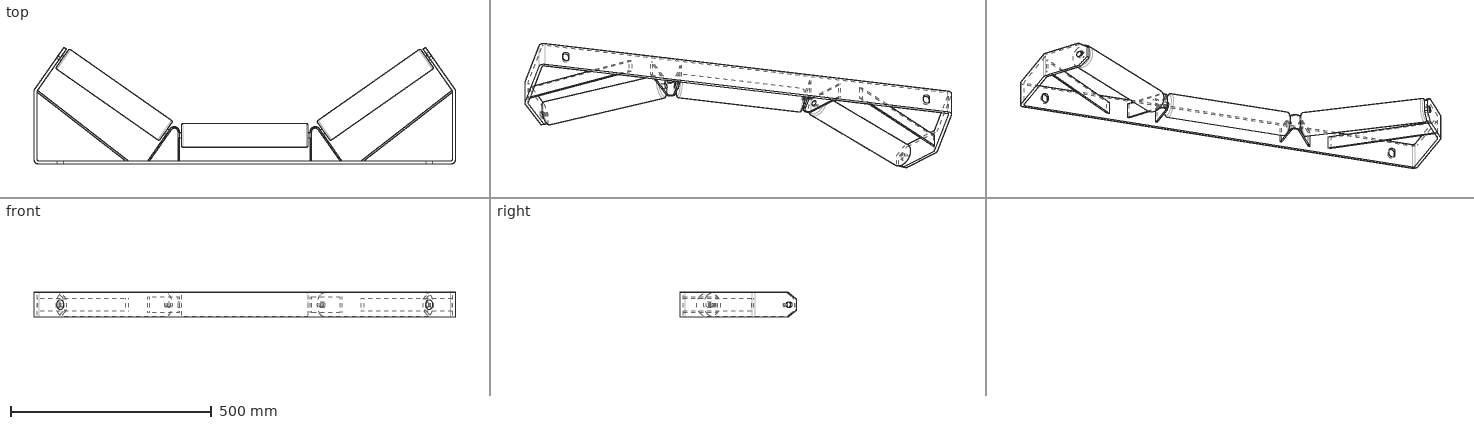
import cadquery as cq
import math

frame_length = 1050.0
frame_width = 62.0
bar_thickness = 8.0
bend_radius = 13.0
upright_height = 184.0
trough_angle = 35.0
overall_height = 291.0
tip_width = 27.0
tip_taper_length = 26.0
base_slot_offset = 459.0
base_slot_length = 24.0
base_slot_width = 16.0

roller_diameter = 60.0
roller_length = 315.0
roller_edge_radius = 4.0
shaft_diameter = 14.0
shaft_gap = 5.0
middle_roller_height = 71.0
side_roller_offset = 25.0
arm_slot_offset = 23.0
arm_slot_length = 19.0

bracket_width = 38.0
bracket_thickness = 4.0
bracket_bend_radius = 13.0
bracket_height = 93.0

strut_thickness = 4.7
strut_width = 30.0
strut_angle = 37.8
strut_foot = 293.0

half_length = frame_length / 2
tilt = math.radians(trough_angle)
arm_direction = cq.Vector(math.sin(tilt), math.cos(tilt), 0)
side_axis = cq.Vector(math.cos(tilt), -math.sin(tilt), 0)
arm_corner = cq.Vector(-half_length, upright_height, 0)
arm_tip = arm_corner + arm_direction * ((overall_height - upright_height) / math.cos(tilt))
inner_tip = arm_tip + side_axis * bar_thickness
inner_corner = cq.Vector(
    -half_length + bar_thickness,
    upright_height - bar_thickness * math.tan(tilt / 2),
    0,
)

bracket_face = roller_length / 2 + shaft_gap
bend_center = cq.Vector(-bracket_face - bracket_bend_radius, bracket_height - bracket_bend_radius, 0)
leg_start = bend_center - side_axis * bracket_bend_radius

arm_face_position = inner_tip.dot(side_axis)
leg_face_position = leg_start.dot(side_axis)
side_half_span = (leg_face_position - arm_face_position) / 2
side_roller_center = (
    side_axis * ((arm_face_position + leg_face_position) / 2)
    + arm_direction * (arm_tip.dot(arm_direction) - side_roller_offset)
)


def mirrored(body):
    """The same body on the other side of the middle plane."""
    return body.mirror("YZ")


def flat_bar(outline, width):
    """Bar of the given width, centred on Z = 0, from its open edge outline."""
    return outline.close().extrude(width / 2, both=True)


def arm_plane(distance_from_tip):
    """Plane on the left arm's outer face: local X up the arm, normal through the arm."""
    origin = arm_tip - arm_direction * distance_from_tip
    return cq.Plane(
        origin=origin.toTuple(),
        xDir=arm_direction.toTuple(),
        normal=side_axis.toTuple(),
    )


def make_bent_bar():
    left = [
        (-half_length, 0),
        (arm_corner.x, arm_corner.y),
        (arm_tip.x, arm_tip.y),
        (inner_tip.x, inner_tip.y),
        (inner_corner.x, inner_corner.y),
        (-half_length + bar_thickness, bar_thickness),
    ]
    right = [(-x, y) for x, y in reversed(left)]
    body = flat_bar(cq.Workplane("XY").polyline(left + right), frame_width)

    inside_radius = bend_radius - bar_thickness
    bends = [
        (half_length, 0, bend_radius),
        (half_length, upright_height, bend_radius),
        (half_length - bar_thickness, bar_thickness, inside_radius),
        (-inner_corner.x, inner_corner.y, inside_radius),
    ]
    for side in (-1, 1):
        for x, y, radius in bends:
            corner = cq.selectors.NearestToPointSelector((side * x, y, 0))
            body = body.edges(corner).fillet(radius)
    return body


def taper_arm_tips(body):
    for side in (-1, 1):
        tip_edge = side * tip_width / 2
        bar_edge = side * frame_width / 2
        corner = (
            cq.Workplane(arm_plane(0))
            .polyline([(0, tip_edge), (0, bar_edge), (-tip_taper_length, bar_edge)])
            .close()
            .extrude(bar_thickness)
        )
        body = body.cut(corner).cut(mirrored(corner))
    return body


def cut_slots(body):
    base_slots = (
        cq.Workplane("XZ")
        .pushPoints([(-base_slot_offset, 0), (base_slot_offset, 0)])
        .slot2D(base_slot_length, base_slot_width, 90)
        .extrude(-bar_thickness)
    )
    arm_slot = (
        cq.Workplane(arm_plane(arm_slot_offset))
        .slot2D(arm_slot_length, shaft_diameter)
        .extrude(bar_thickness)
    )
    return body.cut(base_slots).cut(arm_slot).cut(mirrored(arm_slot))


def make_bracket():
    """Left bracket: vertical leg, round top and a leg leaning at the trough angle."""
    inside_radius = bracket_bend_radius - bracket_thickness
    inner_start = bend_center - side_axis * inside_radius

    def foot(start):
        return start - arm_direction * ((start.y - bar_thickness) / math.cos(tilt))

    outer_foot = foot(leg_start)
    inner_foot = foot(inner_start)
    outline = (
        cq.Workplane("XY")
        .moveTo(-bracket_face, bar_thickness)
        .lineTo(-bracket_face, bend_center.y)
        .threePointArc((bend_center.x, bracket_height), (leg_start.x, leg_start.y))
        .lineTo(outer_foot.x, outer_foot.y)
        .lineTo(inner_foot.x, inner_foot.y)
        .lineTo(inner_start.x, inner_start.y)
        .threePointArc(
            (bend_center.x, bend_center.y + inside_radius),
            (bend_center.x + inside_radius, bend_center.y),
        )
        .lineTo(bend_center.x + inside_radius, bar_thickness)
    )
    return flat_bar(outline, bracket_width)


def make_roller(shaft_start, shaft_end):
    """Roller along X with its shaft; shaft ends are measured from the roller's middle."""
    tube = (
        cq.Workplane("YZ", origin=(-roller_length / 2, 0, 0))
        .circle(roller_diameter / 2)
        .extrude(roller_length)
        .edges()
        .fillet(roller_edge_radius)
    )
    shaft = (
        cq.Workplane("YZ", origin=(shaft_start, 0, 0))
        .circle(shaft_diameter / 2)
        .extrude(shaft_end - shaft_start)
    )
    return tube.union(shaft)


def make_strut():
    """Left strut, ending on the inside faces of the base and the upright."""
    slope = math.radians(strut_angle)
    base_face = bar_thickness
    upright_face = -half_length + bar_thickness
    half_rise = strut_thickness / 2 / math.cos(slope)
    half_run = strut_thickness / 2 / math.sin(slope)
    top = base_face + (-strut_foot - upright_face) * math.tan(slope)
    outline = cq.Workplane("XY").polyline([
        (-strut_foot - half_run, base_face),
        (-strut_foot + half_run, base_face),
        (upright_face, top + half_rise),
        (upright_face, top - half_rise),
    ])
    return flat_bar(outline, strut_width)


middle_shaft_end = bracket_face + bracket_thickness
middle_roller = make_roller(-middle_shaft_end, middle_shaft_end).translate((0, middle_roller_height, 0))
side_roller = (
    make_roller(-side_half_span - bar_thickness, side_half_span + bracket_thickness)
    .rotate((0, 0, 0), (0, 0, 1), -trough_angle)
    .translate(side_roller_center.toTuple())
)

frame = cut_slots(taper_arm_tips(make_bent_bar()))
frame = frame.cut(side_roller).cut(mirrored(side_roller))
bracket = make_bracket().cut(side_roller).cut(middle_roller)
strut = make_strut().cut(frame)

bodies = [frame.val(), middle_roller.val()]
for left_body in (side_roller, bracket, strut):
    for body in (left_body, mirrored(left_body)):
        bodies.append(body.val())

result = cq.Compound.makeCompound(bodies)